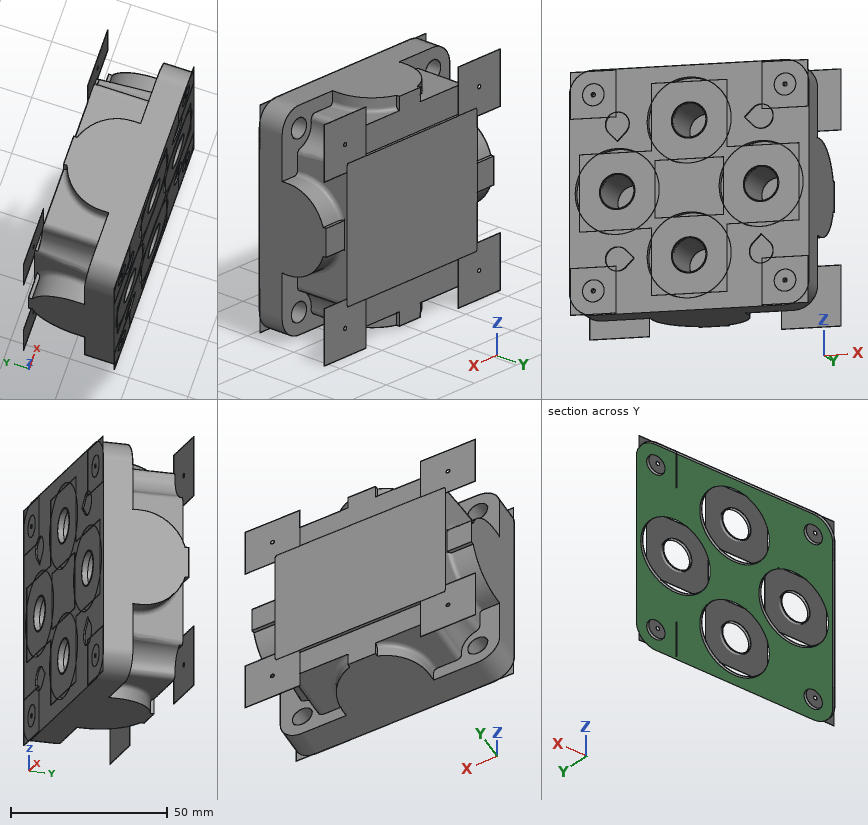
import cadquery as cq
import math

total_depth = 30.0
cover_span = 84.0
cover_side = 20.0
film_thickness = 0.1

plate_side = 80.05
plate_corner_radius = 8.1
plate_back = 10.0
bolt_offset = 32.0
bolt_diameter = 7.2
bolt_film_side = 15.3
pin_diameter = 1.35

shoulder_depth = 29.0
block_half_height = 35.0
block_half_width = 32.8
block_draft = 4.8
corner_relief_radius = 7.5
corner_relief_x = 33.6
corner_relief_z = 32.0
block_edge_radius = 2.0
pad_half_height = 24.95
block_overrun = 3.4
slack = 0.1

boss_radius = 16.0
boss_axis_depth = 12.6
boss_fillet = 1.4
boss_rib_width = 10.1

port_offset_x = 24.0
port_offset_z = 22.0
port_diameter = 11.2
port_depth = 20.0
seal_diameter = 28.05
seal_depth = 2.0
sleeve_wall = 0.3
seal_film_side = 25.2

label_radius = 3.95
label_depth = 0.5

port_points = [(port_offset_x, 0), (-port_offset_x, 0), (0, port_offset_z), (0, -port_offset_z)]
corner_signs = [(sx, sz) for sx in (-1, 1) for sz in (-1, 1)]
bolt_points = [(sx * bolt_offset, sz * bolt_offset) for sx, sz in corner_signs]


def face_sketch(depth):
    """Workplane parallel to XZ at the given Y, extruding toward +Y, with local axes X and -Z."""
    return cq.Workplane(cq.Plane((0, depth, 0), (1, 0, 0), (0, 1, 0)))


def square_block(x, z, width, height, start, end):
    """Box centred on (x, z) between two Y depths."""
    return cq.Workplane().box(width, end - start, height).translate((x, (start + end) / 2, z))


def round_bar(x, z, diameter, start, end):
    """Cylinder along Y centred on (x, z) between two Y depths."""
    return face_sketch(start).center(x, -z).circle(diameter / 2).extrude(end - start)


def make_plate():
    """Square plate with rounded corners, set back from the films by their thickness."""
    plate = square_block(0, 0, plate_side, plate_side, film_thickness, plate_back)
    return plate.edges("|Y").fillet(plate_corner_radius)


def make_block():
    """Drafted block with relieved, rounded corners, left tall so it can be trimmed at the back."""
    tall = total_depth + block_overrun
    height = tall - plate_back
    back_half_width = block_half_width - height * math.tan(math.radians(block_draft))
    block = (
        cq.Workplane("XY", origin=(0, 0, -block_half_height))
        .moveTo(-block_half_width, plate_back)
        .lineTo(block_half_width, plate_back)
        .lineTo(back_half_width, tall)
        .lineTo(-back_half_width, tall)
        .close()
        .extrude(2 * block_half_height)
    )
    relief_diameter = 2 * corner_relief_radius
    for sx, sz in corner_signs:
        block = block.cut(
            round_bar(sx * corner_relief_x, sz * corner_relief_z, relief_diameter, plate_back, tall)
        )
    long_edges = [e for e in block.edges().vals() if e.BoundingBox().ylen > height / 2]
    return block.newObject(long_edges).fillet(block_edge_radius)


def boss_bar():
    """Round-backed bar along Z, running the full plate height."""
    return (
        cq.Workplane("XY")
        .moveTo(-boss_radius, plate_back)
        .lineTo(boss_radius, plate_back)
        .lineTo(boss_radius, boss_axis_depth)
        .threePointArc((0, boss_axis_depth + boss_radius), (-boss_radius, boss_axis_depth))
        .close()
        .extrude(plate_side / 2, both=True)
    )


def boss_root(width, height):
    """Selector for the edges within a given X width and Z height."""
    corner = (width / 2 + slack, total_depth + block_overrun, height / 2 + slack)
    opposite = (-corner[0], plate_back - slack, -corner[2])
    return cq.selectors.BoxSelector(opposite, corner, boundingbox=True)


def make_housing():
    """Block and bosses, trimmed at the shoulder, with the rear pad and boss ribs added."""
    block = make_block()
    boss_along_z = boss_bar()
    boss_along_x = boss_along_z.rotate((0, 0, 0), (0, 1, 0), 90)
    housing = block.union(boss_along_z).union(boss_along_x)

    root_on_z = boss_root(2 * boss_radius, 2 * block_half_height)
    root_on_x = boss_root(2 * block_half_width, 2 * boss_radius)
    housing = housing.edges(root_on_z + root_on_x).fillet(boss_fillet)

    trim = square_block(0, 0, plate_side, plate_side, plate_back, shoulder_depth)
    pad = square_block(0, 0, plate_side, 2 * pad_half_height, plate_back, total_depth)
    rib_along_z = square_block(0, 0, boss_rib_width, plate_side, boss_axis_depth, shoulder_depth)
    rib_along_x = square_block(0, 0, plate_side, boss_rib_width, boss_axis_depth, shoulder_depth)
    housing = housing.intersect(trim).union(block.intersect(pad))
    return housing.union(rib_along_z).union(rib_along_x)


def label_recess(x, z, angle):
    """Teardrop recess whose right-angled tip points along the given angle from +X toward +Z."""
    tangent = label_radius / math.sqrt(2)
    tear = (
        face_sketch(0)
        .moveTo(tangent, tangent)
        .lineTo(label_radius * math.sqrt(2), 0)
        .lineTo(tangent, -tangent)
        .threePointArc((-label_radius, 0), (tangent, tangent))
        .close()
        .extrude(film_thickness + label_depth)
    )
    return tear.rotate((0, 0, 0), (0, 1, 0), -angle).translate((x, 0, z))


def pierced_sheet(x, z, side, hole_diameter, start):
    """Thin square sheet with a central hole, its front at the given Y depth."""
    end = start + film_thickness
    sheet = square_block(x, z, side, side, start, end)
    return sheet.cut(round_bar(x, z, hole_diameter, start, end))


result = make_plate().union(make_housing())

seal_floor = film_thickness + seal_depth
sleeve_diameter = port_diameter + 2 * sleeve_wall
for x, z in port_points:
    sleeve = round_bar(x, z, sleeve_diameter, film_thickness, seal_floor)
    recess = round_bar(x, z, seal_diameter, film_thickness, seal_floor)
    result = result.cut(recess.cut(sleeve))
    result = result.cut(round_bar(x, z, port_diameter, film_thickness, port_depth))
for x, z in bolt_points:
    result = result.cut(round_bar(x, z, bolt_diameter, 0, plate_back))

for sx, sz, angle in [(1, 1, 180), (-1, 1, 270), (-1, -1, 0), (1, -1, 90)]:
    result = result.cut(label_recess(sx * port_offset_x, sz * port_offset_z, angle))

for x, z in port_points:
    result = result.union(pierced_sheet(x, z, seal_film_side, port_diameter, 0))
for x, z in bolt_points:
    result = result.union(pierced_sheet(x, z, bolt_film_side, pin_diameter, 0))

cover_offset = (cover_span - cover_side) / 2
for sx, sz in corner_signs:
    cover = pierced_sheet(
        sx * cover_offset, sz * cover_offset, cover_side, pin_diameter, total_depth - film_thickness
    )
    result = result.union(cover)